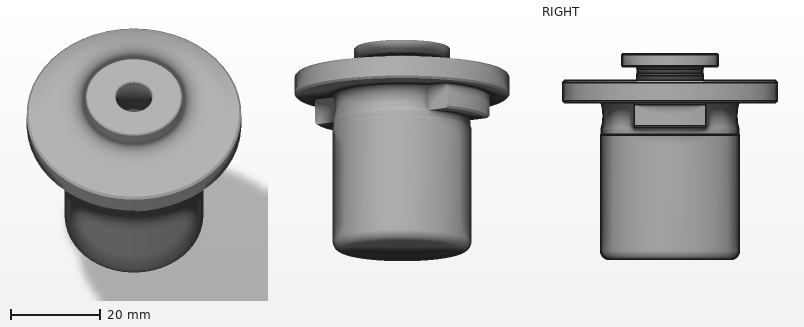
import cadquery as cq

total_height = 46.0
head_thickness = 3.0
head_bottom = total_height - head_thickness
flange_top = 40.0
flange_thickness = 5.0
flange_bottom = flange_top - flange_thickness
collar_bottom = 28.0
waist_bottom = 29.1
lug_bottom = 29.4
neck_step_top = 41.1

flange_radius = 24
body_radius = 15.5
collar_radius = 15.35
waist_radius = 14.95
head_radius = 10.75
neck_radius = 7.3
neck_end_radius = 7.5
lug_radius = 19.95
hole_radius = 4.1

lug_width = 16.0
lug_chamfer = 0.5
flange_chamfer = 0.5
head_chamfer = 0.3
hole_chamfer = 0.25
hole_depth = 10.0
body_fillet = 2.0
collar_taper_height = 0.3
neck_cone_height = 0.5


def disc(radius, bottom, top):
    return cq.Workplane("XY").workplane(offset=bottom).circle(radius).extrude(top - bottom)


def make_body():
    """Cylinder with a rounded lower rim, tapering slightly to a collar on top."""
    body = (
        cq.Workplane("XZ")
        .lineTo(body_radius, 0)
        .lineTo(body_radius, collar_bottom - collar_taper_height)
        .lineTo(collar_radius, collar_bottom)
        .lineTo(collar_radius, waist_bottom)
        .lineTo(0, waist_bottom)
        .close()
        .revolve(360, (0, 0), (0, 1))
    )
    return body.faces("<Z").edges().fillet(body_fillet)


def make_waist():
    """Revolved concave neck between the collar and the flange."""
    middle = (waist_bottom + flange_bottom) / 2
    return (
        cq.Workplane("XZ")
        .moveTo(0, waist_bottom)
        .lineTo(collar_radius, waist_bottom)
        .threePointArc((waist_radius, middle), (collar_radius, flange_bottom))
        .lineTo(0, flange_bottom)
        .close()
        .revolve(360, (0, 0), (0, 1))
    )


def make_lugs():
    """Two opposite lugs along X, cut from one chamfered disc by a straight bar."""
    ring = disc(lug_radius, lug_bottom, flange_bottom).edges().chamfer(lug_chamfer)
    bar = (
        cq.Workplane("XY")
        .workplane(offset=lug_bottom)
        .rect(2 * lug_radius, lug_width)
        .extrude(flange_bottom - lug_bottom)
    )
    return ring.intersect(bar)


def make_neck():
    """Neck under the head, waisted between a short cone at each end."""
    return (
        cq.Workplane("XZ")
        .moveTo(0, flange_top)
        .lineTo(neck_end_radius, flange_top)
        .lineTo(neck_end_radius, neck_step_top)
        .lineTo(neck_radius, neck_step_top + neck_cone_height)
        .lineTo(neck_radius, head_bottom - neck_cone_height)
        .lineTo(neck_end_radius, head_bottom)
        .lineTo(0, head_bottom)
        .close()
        .revolve(360, (0, 0), (0, 1))
    )


flange = disc(flange_radius, flange_bottom, flange_top).edges().chamfer(flange_chamfer)
head = disc(head_radius, head_bottom, total_height).edges().chamfer(head_chamfer)

hole = disc(hole_radius, total_height - hole_depth, total_height)

result = make_body()
for piece in (make_waist(), make_lugs(), flange, make_neck(), head):
    result = result.union(piece)
result = result.cut(hole)

hole_rim = cq.selectors.RadiusNthSelector(0)
result = result.faces(">Z").edges(hole_rim).chamfer(hole_chamfer)